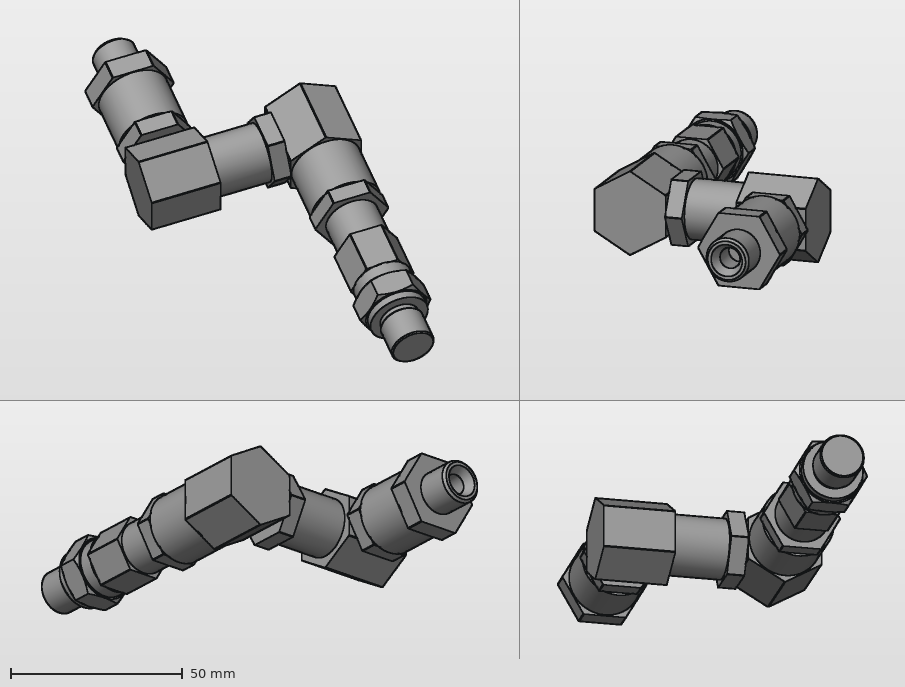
import cadquery as cq
import math

LINK_X = 50.0
OUTLET_Y = 43.6

BLOCK_FLATS = 22.0
BLOCK_CORNERS = 25.25
BLOCK_LENGTH = 21.4
NUT_FLATS = 19.8
NUT_CORNERS = 22.73
SLEEVE_FLATS = 17.0
SLEEVE_CORNERS = 19.5
LOCKNUT_FLATS = 19.0

THREAD_DIA = 13.16
SWIVEL_DIA = 21.4
LINK_DIA = 18.0
TUBE_DIA = 16.2
COLLAR_DIA = 17.9
UNDERCUT_DIA = 11.9

FLANGE_START = 10.8
FLANGE_END = 17.0
INLET_NUT_START = 33.7
INLET_NUT_END = LINK_X - BLOCK_FLATS / 2
INLET_CHAMFER_LENGTH = 0.9
INLET_CHAMFER_DEPTH = 0.75

BORE_DIA = 6.2
SEAT_DIA = 9.6
SEAT_ANGLE = 60.0
BORE_DEPTH = FLANGE_START

LINK_NUT_END = OUTLET_Y - BLOCK_FLATS / 2
LINK_NUT_LENGTH = 5.2
LINK_NUT_START = LINK_NUT_END - LINK_NUT_LENGTH

OUTLET_NUT_START = 77.3
OUTLET_NUT_END = 82.2
SLEEVE_START = 93.6
SLEEVE_END = 107.3
LOCKNUT_START = 111.6
LOCKNUT_END = 119.0
COLLAR_END = 121.4
UNDERCUT_END = 122.9
OUTLET_END = 133.0
OUTLET_CHAMFER = 0.4
THREAD_RUNOUT = 0.6
LOCKNUT_CHAMFER_ANGLE = 30.0


def x_plane(x, y):
    """Sketch plane facing +X, centred on the axis at the given y."""
    return cq.Workplane("YZ", origin=(x, y, 0))


def y_plane(y):
    """Sketch plane facing +Y on the link axis."""
    return cq.Workplane("XZ", origin=(LINK_X, y, 0)).transformed(rotate=(180, 0, 0))


def hexagon(plane, flats, length, turn=0.0):
    """Hexagonal prism; corners lie along the plane's first axis unless turned."""
    corner_dia = flats / math.cos(math.pi / 6)
    return plane.transformed(rotate=(0, 0, turn)).polygon(6, corner_dia).extrude(length)


def rounded_hexagon(plane, flats, corners, length, turn=0.0):
    """Hexagonal prism with its edges turned down to the corner diameter."""
    envelope = plane.circle(corners / 2).extrude(length)
    return hexagon(plane, flats, length, turn).intersect(envelope)


def x_cylinder(start, end, dia, y):
    return x_plane(start, y).circle(dia / 2).extrude(end - start)


def x_rounded_hexagon(start, end, flats, corners, y):
    return rounded_hexagon(x_plane(start, y), flats, corners, end - start)


def inlet_bore():
    seat_depth = (SEAT_DIA - BORE_DIA) / 2 / math.tan(math.radians(SEAT_ANGLE / 2))
    profile = [
        (0, 0),
        (0, SEAT_DIA / 2),
        (seat_depth, BORE_DIA / 2),
        (BORE_DEPTH, BORE_DIA / 2),
        (BORE_DEPTH, 0),
    ]
    return cq.Workplane("XY").polyline(profile).close().revolve(360, (0, 0), (1, 0))


def inlet():
    radius = THREAD_DIA / 2
    profile = [
        (0, 0),
        (0, radius - INLET_CHAMFER_DEPTH),
        (INLET_CHAMFER_LENGTH, radius),
        (FLANGE_START, radius),
        (FLANGE_START, 0),
    ]
    spigot = cq.Workplane("XY").polyline(profile).close().revolve(360, (0, 0), (1, 0))
    flange = x_rounded_hexagon(FLANGE_START, FLANGE_END, BLOCK_FLATS, BLOCK_CORNERS, 0)
    swivel = x_cylinder(FLANGE_END, INLET_NUT_START, SWIVEL_DIA, 0)
    nut = x_rounded_hexagon(INLET_NUT_START, INLET_NUT_END, NUT_FLATS, NUT_CORNERS, 0)
    return spigot.cut(inlet_bore()).union(flange).union(swivel).union(nut)


def link():
    block_half = BLOCK_LENGTH / 2
    block = rounded_hexagon(y_plane(-block_half), BLOCK_FLATS, BLOCK_CORNERS, BLOCK_LENGTH, 90)
    tube = y_plane(block_half).circle(LINK_DIA / 2).extrude(LINK_NUT_START - block_half)
    nut = rounded_hexagon(y_plane(LINK_NUT_START), NUT_FLATS, NUT_CORNERS, LINK_NUT_LENGTH)
    return block.union(tube).union(nut)


def locknut():
    """Hexagonal nut with both ends bevelled at the corners."""
    length = LOCKNUT_END - LOCKNUT_START
    body = hexagon(x_plane(LOCKNUT_START, OUTLET_Y), LOCKNUT_FLATS, length)
    corner_radius = LOCKNUT_FLATS / 2 / math.cos(math.pi / 6)
    bevel_depth = corner_radius - LOCKNUT_FLATS / 2
    bevel_length = bevel_depth * math.tan(math.radians(LOCKNUT_CHAMFER_ANGLE))
    envelope = (
        x_cylinder(LOCKNUT_START, LOCKNUT_END, 2 * corner_radius, OUTLET_Y)
        .faces(">X or <X")
        .chamfer(bevel_length, bevel_depth)
    )
    return body.intersect(envelope)


def outlet():
    block_start = LINK_X - BLOCK_LENGTH / 2
    block_end = LINK_X + BLOCK_LENGTH / 2
    block = rounded_hexagon(
        x_plane(block_start, OUTLET_Y), BLOCK_FLATS, BLOCK_CORNERS, BLOCK_LENGTH, 90
    )
    swivel = x_cylinder(block_end, OUTLET_NUT_START, SWIVEL_DIA, OUTLET_Y)
    nut = x_rounded_hexagon(OUTLET_NUT_START, OUTLET_NUT_END, NUT_FLATS, NUT_CORNERS, OUTLET_Y)
    tube = x_cylinder(OUTLET_NUT_END, SLEEVE_START, TUBE_DIA, OUTLET_Y)
    sleeve = x_rounded_hexagon(SLEEVE_START, SLEEVE_END, SLEEVE_FLATS, SLEEVE_CORNERS, OUTLET_Y)
    collar = x_cylinder(SLEEVE_END, COLLAR_END, COLLAR_DIA, OUTLET_Y)
    undercut = x_cylinder(COLLAR_END, UNDERCUT_END, UNDERCUT_DIA, OUTLET_Y)
    thread = (
        x_cylinder(UNDERCUT_END, OUTLET_END, THREAD_DIA, OUTLET_Y)
        .faces(">X")
        .chamfer(OUTLET_CHAMFER)
        .faces("<X")
        .chamfer(THREAD_RUNOUT)
    )
    body = block
    for section in (swivel, nut, tube, sleeve, collar, locknut(), undercut, thread):
        body = body.union(section)
    return body


result = inlet().union(link()).union(outlet())